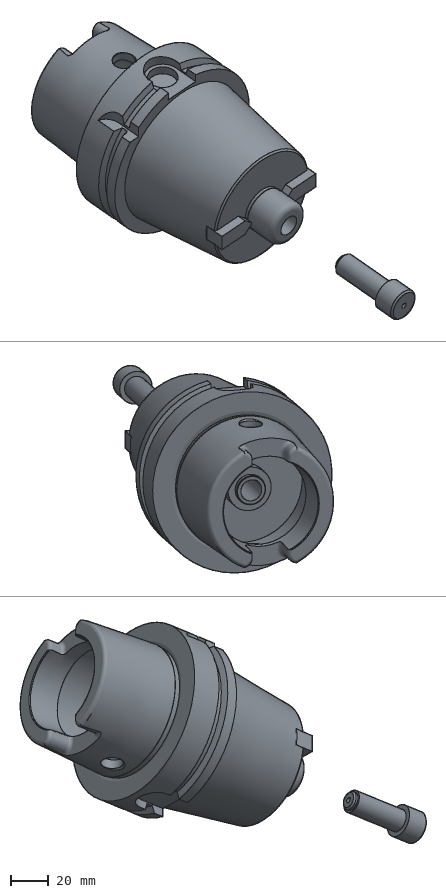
import cadquery as cq
import math

TOTAL_LENGTH = 247.4

TAPER_END_X = 47.0
TAPER_END_DIAMETER = 75.2
TAPER_HALF_ANGLE_TANGENT = 1 / 20
MOUTH_FILLET = 2.0
RELIEF_DEPTH = 0.5
RELIEF_RIM_DIAMETER = 78.2

FLANGE_DIAMETER = 100.0
FLANGE_START_X = 50.0
FLANGE_END_X = 79.2
GROOVE_CENTRE_X = 70.0
GROOVE_FLOOR_DIAMETER = 92.3
GROOVE_RIM_WIDTH = 6.2
GROOVE_FLOOR_WIDTH = 3.7

NOSE_START_DIAMETER = 85.0
NOSE_END_DIAMETER = 69.8
NOSE_END_X = 139.8
NOSE_CHAMFER = 1.0
NECK_DIAMETER = 25.0
NECK_END_X = 141.7
PILOT_DIAMETER = 25.5
PILOT_END_X = 160.0
PILOT_FILLET = 3.5

CAVITY_MOUTH_DIAMETER = 53.7
CAVITY_MOUTH_CHAMFER = 0.5
CAVITY_THROAT_DIAMETER = 50.5
CAVITY_THROAT_X = 18.3
CAVITY_DIAMETER = 63.0
CAVITY_FLOOR_X = 44.5
HUB_DIAMETER = 24.0
HUB_STEP_X = 37.4
HUB_TIP_DIAMETER = 16.0
HUB_TIP_X = 34.5
HUB_TIP_FACE_DIAMETER = 15.3
BORE_DIAMETER = 11.6

SLOT_WIDTH = 20.0
SLOT_EDGE_RADIUS = 5.0
SLOT_EDGE_CENTRE_Z = 27.2
SLOT_FLOOR_FILLET = 2.0
TOP_SLOT_DEPTH = 10.0
BOTTOM_SLOT_DEPTH = 15.0

CROSS_HOLE_X = 35.1
CROSS_HOLE_DIAMETER = 12.0
COUNTERSINK_DIAMETER = 13.4

GRIP_SLOT_WIDTH = 20.3
GRIP_SLOT_CENTRE_X = 64.5
GRIP_SLOT_FLOOR = 44.0
CHIP_HOLE_DIAMETER = 16.0
CHIP_HOLE_DEPTH = 5.0
NOTCH_WALL = 32.2
NOTCH_FLOOR = 31.7
NOTCH_CORNER_X = 64.3
NOTCH_CORNER_RADIUS = 10.0

KEY_START_X = 133.5
KEY_END_X = 145.0
KEY_THICKNESS = 9.6
KEY_OUTER_Y = 35.0
KEY_SHOULDER_Y = 17.5
KEY_POINT_Y = 12.4

SCREW_TIP_X = 199.9
SCREW_TIP_FACE_DIAMETER = 8.5
SCREW_TIP_DIAMETER = 10.5
SCREW_TIP_CHAMFER = (SCREW_TIP_DIAMETER - SCREW_TIP_FACE_DIAMETER) / 2
SHANK_DIAMETER = 12.5
SHANK_START_X = 202.0
HEAD_DIAMETER = 18.0
HEAD_START_X = 234.7
HEAD_CHAMFER = 1.0
SCREW_HOLE_DIAMETER = 3.0

CUT_MARGIN = 2.5


def revolve_about_x(points):
    """Turn a closed (x, radius) outline about the X axis."""
    outline = cq.Workplane("XY").polyline(points).close()
    return outline.revolve(360, (0, 0, 0), (1, 0, 0))


def cylinder_along_x(diameter, start_x, end_x):
    return cq.Workplane("YZ", origin=(start_x, 0, 0)).circle(diameter / 2).extrude(end_x - start_x)


def holder_blank():
    """The outside of the holder, solid, before anything is cut from it."""
    taper_end_radius = TAPER_END_DIAMETER / 2
    rim_radius = taper_end_radius - TAPER_HALF_ANGLE_TANGENT * TAPER_END_X
    flange_radius = FLANGE_DIAMETER / 2
    groove_radius = GROOVE_FLOOR_DIAMETER / 2
    nose_radius = NOSE_END_DIAMETER / 2
    blank = revolve_about_x([
        (0, 0),
        (0, rim_radius),
        (TAPER_END_X, taper_end_radius),
        (TAPER_END_X + RELIEF_DEPTH, taper_end_radius - RELIEF_DEPTH),
        (FLANGE_START_X + RELIEF_DEPTH, taper_end_radius - RELIEF_DEPTH),
        (FLANGE_START_X, RELIEF_RIM_DIAMETER / 2),
        (FLANGE_START_X, flange_radius),
        (GROOVE_CENTRE_X - GROOVE_RIM_WIDTH / 2, flange_radius),
        (GROOVE_CENTRE_X - GROOVE_FLOOR_WIDTH / 2, groove_radius),
        (GROOVE_CENTRE_X + GROOVE_FLOOR_WIDTH / 2, groove_radius),
        (GROOVE_CENTRE_X + GROOVE_RIM_WIDTH / 2, flange_radius),
        (FLANGE_END_X, flange_radius),
        (FLANGE_END_X, NOSE_START_DIAMETER / 2),
        (NOSE_END_X - NOSE_CHAMFER, nose_radius),
        (NOSE_END_X, nose_radius - NOSE_CHAMFER),
        (NOSE_END_X, 0),
    ])
    neck = cylinder_along_x(NECK_DIAMETER, NOSE_END_X, NECK_END_X)
    pilot = cylinder_along_x(PILOT_DIAMETER, NECK_END_X, PILOT_END_X)
    pilot = pilot.faces(">X").edges().fillet(PILOT_FILLET)
    blank = blank.faces("<X").edges().fillet(MOUTH_FILLET)
    return blank.union(neck).union(pilot)


def shank_cavity():
    """The hollow of the shank, leaving the stepped hub on its floor."""
    throat_radius = CAVITY_THROAT_DIAMETER / 2
    cavity_radius = CAVITY_DIAMETER / 2
    hub_tip_chamfer = (HUB_TIP_DIAMETER - HUB_TIP_FACE_DIAMETER) / 2
    return revolve_about_x([
        (0, 0),
        (0, CAVITY_MOUTH_DIAMETER / 2),
        (CAVITY_MOUTH_CHAMFER, CAVITY_MOUTH_DIAMETER / 2 - CAVITY_MOUTH_CHAMFER),
        (CAVITY_THROAT_X, throat_radius),
        (CAVITY_THROAT_X, cavity_radius),
        (CAVITY_FLOOR_X, cavity_radius),
        (CAVITY_FLOOR_X, HUB_DIAMETER / 2),
        (HUB_STEP_X, HUB_DIAMETER / 2),
        (HUB_STEP_X, HUB_TIP_DIAMETER / 2),
        (HUB_TIP_X + hub_tip_chamfer, HUB_TIP_DIAMETER / 2),
        (HUB_TIP_X, HUB_TIP_FACE_DIAMETER / 2),
        (HUB_TIP_X, 0),
    ])


def slot_jaw(depth, side):
    """The metal beside a drive slot at +Y, its edges rounded toward the outside and toward the mouth."""
    half_width = SLOT_WIDTH / 2
    outer_y = TAPER_END_DIAMETER / 2
    crest_z = side * (SLOT_EDGE_CENTRE_Z + SLOT_EDGE_RADIUS)
    arc_offset = SLOT_EDGE_RADIUS * (1 - math.sqrt(0.5))
    jaw = (
        cq.Workplane("YZ")
        .moveTo(half_width, 0)
        .lineTo(half_width, side * SLOT_EDGE_CENTRE_Z)
        .threePointArc(
            (half_width + arc_offset, crest_z - side * arc_offset),
            (half_width + SLOT_EDGE_RADIUS, crest_z),
        )
        .lineTo(outer_y, crest_z)
        .lineTo(outer_y, 0)
        .close()
        .extrude(depth)
    )
    return jaw.faces("<X").edges("%CIRCLE").fillet(MOUTH_FILLET)


def drive_slot(depth, side):
    """A slot across the shank mouth; side is +1 for up, -1 for down."""
    width = TAPER_END_DIAMETER
    height = TAPER_END_DIAMETER / 2
    block = cq.Workplane("XY").box(depth, width, height).translate((depth / 2, 0, side * height / 2))
    jaw = slot_jaw(depth, side)
    slot = block.cut(jaw).cut(jaw.mirror("XZ"))
    return slot.faces(">X").edges("%CIRCLE").fillet(SLOT_FLOOR_FILLET)


def cross_hole(side):
    """A countersunk hole from the outside of the shank into the cavity; side is +1 for up, -1 for down."""
    hole_radius = CROSS_HOLE_DIAMETER / 2
    sink_radius = COUNTERSINK_DIAMETER / 2
    surface = TAPER_END_DIAMETER / 2 - TAPER_HALF_ANGLE_TANGENT * (TAPER_END_X - CROSS_HOLE_X)
    top = surface + CUT_MARGIN
    profile = [
        (0, CAVITY_THROAT_DIAMETER / 2),
        (hole_radius, CAVITY_THROAT_DIAMETER / 2),
        (hole_radius, surface - (sink_radius - hole_radius)),
        (sink_radius + CUT_MARGIN, top),
        (0, top),
    ]
    hole = cq.Workplane("XZ").polyline(profile).close().revolve(360, (0, 0, 0), (0, 1, 0))
    if side < 0:
        hole = hole.mirror("XY")
    return hole.translate((CROSS_HOLE_X, 0, 0))


def grip_slot(side):
    """A round-ended slot in the flange, open toward the nose; side is +1 for up, -1 for down."""
    plane = cq.Workplane("XY", origin=(0, 0, side * GRIP_SLOT_FLOOR))
    height = side * (FLANGE_DIAMETER / 2 - GRIP_SLOT_FLOOR + CUT_MARGIN)
    straight_length = FLANGE_END_X - GRIP_SLOT_CENTRE_X
    round_end = plane.center(GRIP_SLOT_CENTRE_X, 0).circle(GRIP_SLOT_WIDTH / 2).extrude(height)
    straight = plane.center(GRIP_SLOT_CENTRE_X + straight_length / 2, 0)
    return round_end.union(straight.rect(straight_length, GRIP_SLOT_WIDTH).extrude(height))


def chip_hole():
    """A shallow round recess in the floor of the upper grip slot."""
    plane = cq.Workplane("XY", origin=(GRIP_SLOT_CENTRE_X, 0, GRIP_SLOT_FLOOR))
    return plane.circle(CHIP_HOLE_DIAMETER / 2).extrude(-CHIP_HOLE_DEPTH)


def orientation_notch():
    """An L-shaped notch in the upper -Y flange edge, with one rounded end corner."""
    outer_y = -FLANGE_DIAMETER / 2
    arc_offset = NOTCH_CORNER_RADIUS * math.sqrt(0.5)
    arc_centre_y = -NOTCH_WALL - NOTCH_CORNER_RADIUS
    return (
        cq.Workplane("XY", origin=(0, 0, NOTCH_FLOOR))
        .moveTo(FLANGE_END_X, -NOTCH_WALL)
        .lineTo(NOTCH_CORNER_X, -NOTCH_WALL)
        .threePointArc(
            (NOTCH_CORNER_X - arc_offset, arc_centre_y + arc_offset),
            (NOTCH_CORNER_X - NOTCH_CORNER_RADIUS, arc_centre_y),
        )
        .lineTo(NOTCH_CORNER_X - NOTCH_CORNER_RADIUS, outer_y)
        .lineTo(FLANGE_END_X, outer_y)
        .close()
        .extrude(FLANGE_DIAMETER / 2 - NOTCH_FLOOR)
    )


def driving_key(side):
    """A key with a flat outer end and a pointed inner end; side is +1 or -1 along Y."""
    half_thickness = KEY_THICKNESS / 2
    return (
        cq.Workplane("YZ", origin=(KEY_START_X, 0, 0))
        .moveTo(side * KEY_OUTER_Y, -half_thickness)
        .lineTo(side * KEY_OUTER_Y, half_thickness)
        .lineTo(side * KEY_SHOULDER_Y, half_thickness)
        .lineTo(side * KEY_POINT_Y, 0)
        .lineTo(side * KEY_SHOULDER_Y, -half_thickness)
        .close()
        .extrude(KEY_END_X - KEY_START_X)
    )


def key_flat(side):
    """Material trimmed off the nose outside the outer end of a key."""
    length = NOSE_END_X - KEY_START_X
    outer_y = NOSE_START_DIAMETER / 2
    depth = outer_y - KEY_OUTER_Y
    centre = (KEY_START_X + length / 2, side * (KEY_OUTER_Y + depth / 2), 0)
    return cq.Workplane("XY").box(length, depth, KEY_THICKNESS).translate(centre)


def make_holder():
    """The tool holder: a hollow taper shank, grooved flange, nose, pilot and two driving keys."""
    holder = holder_blank().cut(shank_cavity())
    holder = holder.cut(drive_slot(TOP_SLOT_DEPTH, 1)).cut(drive_slot(BOTTOM_SLOT_DEPTH, -1))
    for side in (1, -1):
        holder = holder.cut(cross_hole(side)).cut(grip_slot(side))
        holder = holder.cut(key_flat(side)).union(driving_key(side))
    holder = holder.cut(chip_hole()).cut(orientation_notch())
    return holder.cut(cylinder_along_x(BORE_DIAMETER, 0, PILOT_END_X))


def make_screw():
    """A cylindrical-head screw with a stepped tip and a hole along its axis."""
    return revolve_about_x([
        (SCREW_TIP_X, SCREW_HOLE_DIAMETER / 2),
        (SCREW_TIP_X, SCREW_TIP_FACE_DIAMETER / 2),
        (SCREW_TIP_X + SCREW_TIP_CHAMFER, SCREW_TIP_DIAMETER / 2),
        (SHANK_START_X, SCREW_TIP_DIAMETER / 2),
        (SHANK_START_X, SHANK_DIAMETER / 2),
        (HEAD_START_X, SHANK_DIAMETER / 2),
        (HEAD_START_X, HEAD_DIAMETER / 2),
        (TOTAL_LENGTH - HEAD_CHAMFER, HEAD_DIAMETER / 2),
        (TOTAL_LENGTH, HEAD_DIAMETER / 2 - HEAD_CHAMFER),
        (TOTAL_LENGTH, SCREW_HOLE_DIAMETER / 2),
    ])


holder = make_holder()
screw = make_screw()
result = cq.Compound.makeCompound([holder.val(), screw.val()])